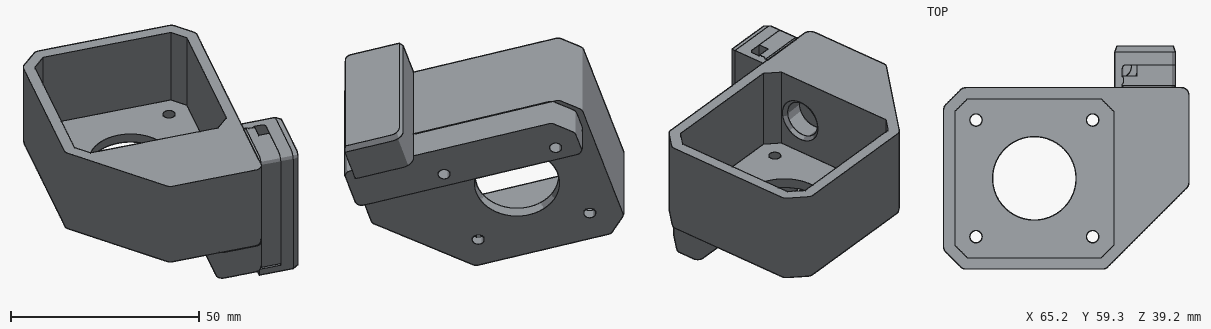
import cadquery as cq
import math


POCKET_SIDE = 42.3
POCKET_CORNER = 3.4
SCREW_SPACING = 31.0
SCREW_HOLE_DIAMETER = 3.2
BOSS_HOLE_DIAMETER = 22.1

WALL = 3.0
HOUSING_LENGTH = 65.25
HOUSING_HEIGHT = 26.05
SIDE_CORNER_Y = -1.95
EDGE_ROUND = 2.0
EDGE_BEVEL_INSET = 0.25
HOUSING_BEVEL_HEIGHT = 1.2
FLOOR_THICKNESS = 3.0

HOUSING_HALF_WIDTH = POCKET_SIDE / 2 + WALL
HOUSING_CORNER = POCKET_CORNER + WALL * (2 - math.sqrt(2))
HOUSING_LEFT = -HOUSING_HALF_WIDTH
HOUSING_RIGHT = HOUSING_LEFT + HOUSING_LENGTH
REAR_FACE = HOUSING_HALF_WIDTH

WIRE_HOLE_Y = 11.35
WIRE_HOLE_DIAMETER = 10.05
WIRE_HOLE_DEPTH = 6.0
WIRE_HOLE_FLARE = 1.0

FOOT_SETBACK = 1.95
FOOT_WIDTH = 12.8
FOOT_HEIGHT = 9.0
FOOT_BEVEL_HEIGHT = 1.0

COVER_LEFT = 21.35
COVER_LENGTH = 16.2
COVER_DEPTH = 11.0
COVER_HEIGHT = 39.2
COVER_WALL = 2.0
COVER_REAR_WALL = 5.0
COVER_LOWER_ROUND = 3.0
COVER_UPPER_ROUND = 2.2
COVER_BEVEL_INSET = 0.6
COVER_BEVEL_DEPTH = 1.55

COVER_RIGHT = COVER_LEFT + COVER_LENGTH
COVER_TOP = HOUSING_HEIGHT
COVER_BOTTOM = COVER_TOP - COVER_HEIGHT
COVER_REAR = REAR_FACE + COVER_DEPTH

INSERT_LEFT = COVER_LEFT + COVER_WALL
INSERT_BOTTOM = COVER_BOTTOM + COVER_WALL
INSERT_REAR = COVER_REAR - COVER_REAR_WALL
INSERT_ROUND = COVER_LOWER_ROUND - COVER_WALL
INSERT_BEVEL_DEPTH = 0.6

NOTCH_LENGTH = 4.0
NOTCH_WIDTH = 3.0

RIDGE_START = 0.85
RIDGE_WIDTH = 2.15
RIDGE_SLOPE = 0.5
RIDGE_RISE = 0.4

RING_X = 23.05
RING_Y = REAR_FACE + COVER_DEPTH / 2
RING_INNER_RADIUS = 2.75
RING_OUTER_RADIUS = 4.6
RING_DEPTH = 0.2


def box(x_min, x_max, y_min, y_max, z_min, z_max):
    """Axis-aligned box between the given limits."""
    size = (x_max - x_min, y_max - y_min, z_max - z_min)
    return cq.Workplane("XY").box(*size, centered=False).translate((x_min, y_min, z_min))


def bevelled_end(body, face, depth, inset):
    """Extend a body from one end face by a band that tapers inward."""
    taper = math.degrees(math.atan(inset / depth))
    return body.faces(face).wires().toPending().workplane().extrude(depth, taper=taper)


def screw_points():
    half = SCREW_SPACING / 2
    return [(x, y) for x in (-half, half) for y in (-half, half)]


def housing_blank():
    side_run = HOUSING_HALF_WIDTH + SIDE_CORNER_Y
    outline = [
        (HOUSING_LEFT + HOUSING_CORNER, -HOUSING_HALF_WIDTH),
        (HOUSING_RIGHT - side_run, -HOUSING_HALF_WIDTH),
        (HOUSING_RIGHT, SIDE_CORNER_Y),
        (HOUSING_RIGHT, REAR_FACE),
        (HOUSING_LEFT + HOUSING_CORNER, REAR_FACE),
        (HOUSING_LEFT, REAR_FACE - HOUSING_CORNER),
        (HOUSING_LEFT, -HOUSING_HALF_WIDTH + HOUSING_CORNER),
    ]
    blank = (
        cq.Workplane("XY", origin=(0, 0, HOUSING_BEVEL_HEIGHT))
        .polyline(outline)
        .close()
        .extrude(HOUSING_HEIGHT - HOUSING_BEVEL_HEIGHT)
        .edges("|Z")
        .fillet(EDGE_ROUND)
    )
    return bevelled_end(blank, "<Z", HOUSING_BEVEL_HEIGHT, EDGE_BEVEL_INSET)


def motor_pocket():
    return (
        cq.Workplane("XY", origin=(0, 0, FLOOR_THICKNESS))
        .rect(POCKET_SIDE, POCKET_SIDE)
        .extrude(HOUSING_HEIGHT)
        .edges("|Z")
        .chamfer(POCKET_CORNER)
    )


def screw_holes():
    """Four holes through the housing floor; the rear two go on through the foot."""
    return (
        cq.Workplane("XY", origin=(0, 0, -FOOT_HEIGHT))
        .pushPoints(screw_points())
        .circle(SCREW_HOLE_DIAMETER / 2)
        .extrude(FOOT_HEIGHT + FLOOR_THICKNESS)
    )


def boss_hole():
    """Central hole that widens at the underside of the housing."""
    radius = BOSS_HOLE_DIAMETER / 2
    bore = cq.Workplane("XY").circle(radius).extrude(FLOOR_THICKNESS)
    flare = cq.Solid.makeCone(radius + EDGE_BEVEL_INSET, radius, HOUSING_BEVEL_HEIGHT)
    return bore.union(cq.Workplane(flare))


def wire_hole():
    radius = WIRE_HOLE_DIAMETER / 2
    mouth = cq.Vector(POCKET_SIDE / 2, WIRE_HOLE_Y, HOUSING_HEIGHT / 2)
    along = cq.Vector(1, 0, 0)
    bore = cq.Solid.makeCylinder(radius, WIRE_HOLE_DEPTH, mouth, along)
    flare = cq.Solid.makeCone(radius + WIRE_HOLE_FLARE, radius, WIRE_HOLE_FLARE, mouth, along)
    return cq.Workplane(bore).union(cq.Workplane(flare))


def make_housing():
    housing = housing_blank().cut(motor_pocket())
    return housing.cut(screw_holes()).cut(boss_hole()).cut(wire_hole())


def make_foot():
    left = HOUSING_LEFT + FOOT_SETBACK
    front = REAR_FACE - FOOT_WIDTH
    outline = [
        (left, front),
        (HOUSING_RIGHT, front),
        (HOUSING_RIGHT, REAR_FACE),
        (left + HOUSING_CORNER, REAR_FACE),
        (left, REAR_FACE - HOUSING_CORNER),
    ]
    foot = (
        cq.Workplane("XY")
        .polyline(outline)
        .close()
        .extrude(FOOT_BEVEL_HEIGHT - FOOT_HEIGHT)
        .edges("|Z")
        .fillet(EDGE_ROUND)
    )
    foot = bevelled_end(foot, "<Z", FOOT_BEVEL_HEIGHT, EDGE_BEVEL_INSET)
    return foot.cut(screw_holes())


def snap_ridge():
    """Trapezoidal ridge along Z on the left wall of the cavity, above its lower round."""
    bottom = INSERT_BOTTOM + INSERT_ROUND
    start = REAR_FACE + RIDGE_START
    end = start + RIDGE_WIDTH
    crest = INSERT_LEFT + RIDGE_RISE
    profile = [
        (INSERT_LEFT, start),
        (crest, start + RIDGE_SLOPE),
        (crest, end - RIDGE_SLOPE),
        (INSERT_LEFT, end),
    ]
    return cq.Workplane("XY", origin=(0, 0, bottom)).polyline(profile).close().extrude(COVER_TOP - bottom)


def cover_cavity():
    """Space inside the cover, open at the top, the right and the front."""
    space = box(INSERT_LEFT, COVER_RIGHT, REAR_FACE, INSERT_REAR, INSERT_BOTTOM, COVER_TOP)
    lower_rounded = space.edges("(|Y) and (<X) and (<Z)").fillet(INSERT_ROUND)
    rear_rounded = space.edges("|Z and <X and >Y").fillet(INSERT_ROUND)
    return lower_rounded.intersect(rear_rounded)


def notch():
    return box(
        INSERT_LEFT,
        INSERT_LEFT + NOTCH_LENGTH,
        INSERT_REAR - NOTCH_WIDTH,
        INSERT_REAR,
        INSERT_BOTTOM - RING_DEPTH,
        COVER_TOP,
    )


def ring_recess():
    ring = (
        cq.Workplane("XY", origin=(RING_X, RING_Y, INSERT_BOTTOM))
        .circle(RING_OUTER_RADIUS)
        .circle(RING_INNER_RADIUS)
        .extrude(-RING_DEPTH)
    )
    return ring.intersect(notch())


def make_cover():
    bevel_start = COVER_REAR - COVER_BEVEL_DEPTH
    cover = (
        box(COVER_LEFT, COVER_RIGHT, REAR_FACE, bevel_start, COVER_BOTTOM, COVER_TOP)
        .edges("(|Y) and (<X) and (<Z)")
        .fillet(COVER_LOWER_ROUND)
        .edges("|Y and >X and >Z")
        .fillet(COVER_UPPER_ROUND)
    )
    cover = bevelled_end(cover, ">Y", COVER_BEVEL_DEPTH, COVER_BEVEL_INSET)
    return cover.cut(cover_cavity()).union(snap_ridge()).cut(ring_recess())


def make_insert():
    bevel_start = REAR_FACE + INSERT_BEVEL_DEPTH
    insert = (
        box(INSERT_LEFT, COVER_RIGHT, bevel_start, INSERT_REAR, INSERT_BOTTOM, COVER_TOP)
        .edges("|Y and <Z")
        .fillet(INSERT_ROUND)
        .edges("|Y and >X and >Z")
        .fillet(COVER_UPPER_ROUND)
    )
    insert = bevelled_end(insert, "<Y", INSERT_BEVEL_DEPTH, EDGE_BEVEL_INSET)
    return insert.cut(notch()).cut(snap_ridge())


housing = make_housing()
foot = make_foot()
cover = make_cover()
insert = make_insert()

result = cq.Compound.makeCompound([housing.val(), foot.val(), cover.val(), insert.val()])